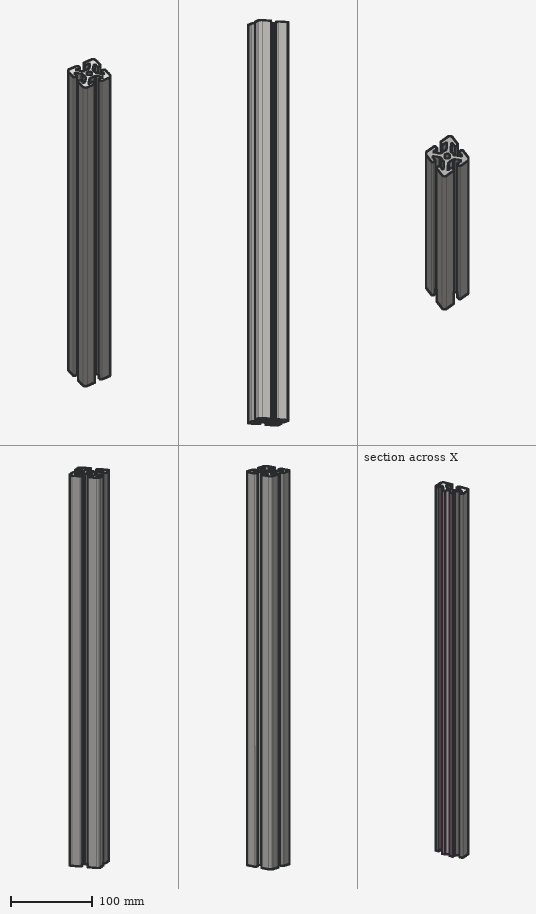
import cadquery as cq

length = 500.0
width = 40.0
corner_radius = 4.0
bore_diameter = 6.5

slot_opening = 8.0
lip_tip_thickness = 4.75
lip_root_thickness = 5.0
lip_edge_radius = 1.5
cavity_width = 20.0
core_width = 16.5
floor_recess_depth = 0.5
floor_recess_bottom_width = 6.0
floor_recess_top_width = 8.5
web_offset = 3.5

half_width = width / 2
half_opening = slot_opening / 2
half_cavity = cavity_width / 2
half_core = core_width / 2
lip_tip = half_width - lip_tip_thickness
lip_root = half_width - lip_root_thickness


def make_bar():
    """Square bar with rounded long corners, centred on the origin."""
    return cq.Workplane("XY").box(width, width, length).edges("|Z").fillet(corner_radius)


def make_slot():
    """T-slot void on the +Y side, with rounded lips and a shallow recess along its floor."""
    mouth = half_opening + lip_edge_radius
    round_start = half_width - lip_edge_radius
    arc_inset = lip_edge_radius * (1 - 0.5**0.5)
    arc_x = half_opening + arc_inset
    arc_y = half_width - arc_inset
    floor_half_width = half_core - web_offset
    recess_top = floor_recess_top_width / 2
    recess_bottom = floor_recess_bottom_width / 2
    recess_floor = half_core - floor_recess_depth
    taper_top = half_cavity + web_offset
    return (
        cq.Workplane("XY")
        .workplane(offset=-length / 2)
        .moveTo(-mouth, half_width)
        .threePointArc((-arc_x, arc_y), (-half_opening, round_start))
        .lineTo(-half_opening, lip_tip)
        .lineTo(-half_cavity, lip_root)
        .lineTo(-half_cavity, taper_top)
        .lineTo(-floor_half_width, half_core)
        .lineTo(-recess_top, half_core)
        .lineTo(-recess_bottom, recess_floor)
        .lineTo(recess_bottom, recess_floor)
        .lineTo(recess_top, half_core)
        .lineTo(floor_half_width, half_core)
        .lineTo(half_cavity, taper_top)
        .lineTo(half_cavity, lip_root)
        .lineTo(half_opening, lip_tip)
        .lineTo(half_opening, round_start)
        .threePointArc((arc_x, arc_y), (mouth, half_width))
        .close()
        .extrude(length)
    )


result = make_bar()
slot = make_slot()
for angle in (0, 90, 180, 270):
    result = result.cut(slot.rotate((0, 0, 0), (0, 0, 1), angle))

result = result.faces(">Z").workplane().hole(bore_diameter)